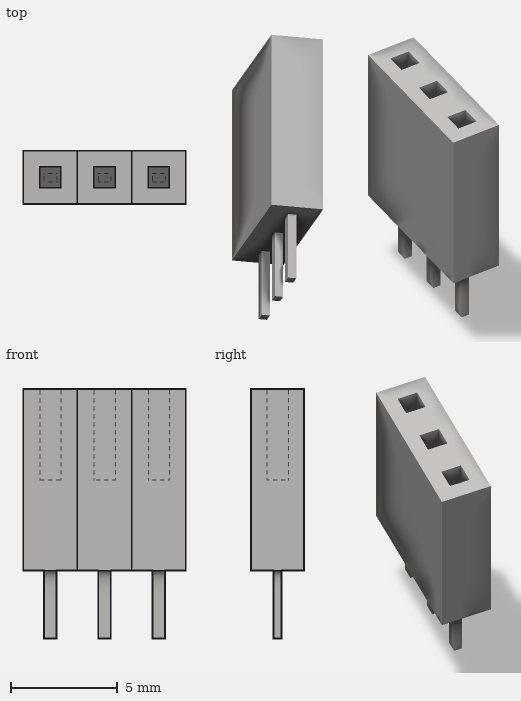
import cadquery as cq

position_count = 3
pitch = 2.54
total_height = 11.7

housing_depth = 2.5
housing_height = 8.51
socket_side = 1.0
socket_depth = housing_height / 2

pin_width = 0.6
pin_thickness = 0.4
pin_length = total_height - housing_height


def make_housing(x_center):
    """Rectangular block with a blind square socket in its top face."""
    block = cq.Workplane("XY").center(x_center, 0).rect(pitch, housing_depth).extrude(housing_height)
    socket = (
        cq.Workplane("XY", origin=(x_center, 0, housing_height))
        .rect(socket_side, socket_side)
        .extrude(-socket_depth)
    )
    return block.cut(socket)


def make_pin(x_center):
    """Straight rectangular tail running down from the housing underside."""
    return cq.Workplane("XY").center(x_center, 0).rect(pin_width, pin_thickness).extrude(-pin_length)


x_centers = [(i - (position_count - 1) / 2) * pitch for i in range(position_count)]
housings = [make_housing(x).val() for x in x_centers]
pins = [make_pin(x).val() for x in x_centers]

result = cq.Compound.makeCompound([*housings, *pins])